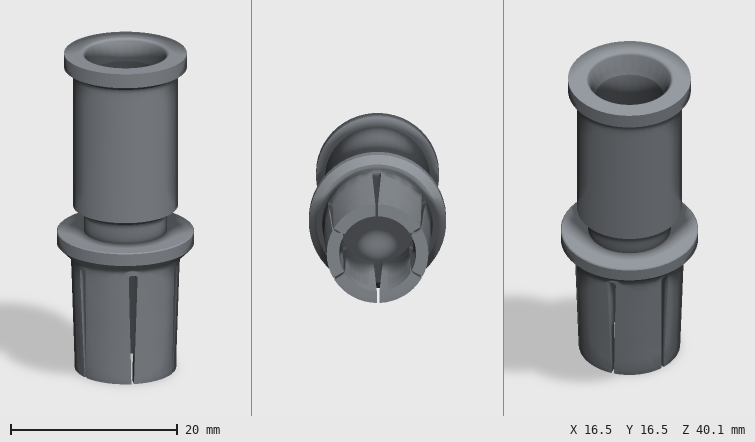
import cadquery as cq
import math

total_height = 40.1

sleeve_tip_radius = 6.1
sleeve_root_radius = 6.58
sleeve_collar_radius = 6.65
sleeve_collar_bottom = 14.7
sleeve_bore_radius = 4.6
sleeve_bore_depth = 14.45

slot_count = 6
slot_top = 14.0
slot_top_width = 1.1
slot_bottom_width = 0.32
slot_corner_radius = 0.32

flange_diameter = 16.5
flange_radius = flange_diameter / 2
flange_bottom = 14.95
flange_top = 17.52
flange_chamfer = 0.95
flange_edge_chamfer = 0.12

neck_radius = 4.97
body_radius = 6.3
body_bottom = 20.05
head_radius = 7.38
head_rim_height = 1.75
slope_run = 1.1
slope_angle = math.radians(30)
slope_rise = slope_run * math.tan(slope_angle)

mouth_radius = 5.05
mouth_fillet = 0.45
lead_in_depth = 2.55
bore_top_radius = 4.1
bore_bottom_radius = 3.6
bore_depth = 18.05
bore_tip_angle = math.radians(59)
bore_tip_depth = bore_depth + bore_bottom_radius / math.tan(bore_tip_angle)


def revolve_profile(points):
    """Revolve a closed (radius, height) outline about the Z axis."""
    return cq.Workplane("XZ").polyline(points).close().revolve(360, (0, 0, 0), (0, 1, 0))


def make_outer_body():
    head_rim_bottom = total_height - head_rim_height
    return revolve_profile([
        (0, 0),
        (sleeve_tip_radius, 0),
        (sleeve_root_radius, sleeve_collar_bottom),
        (sleeve_collar_radius, flange_bottom),
        (flange_radius - flange_chamfer, flange_bottom),
        (flange_radius, flange_bottom + flange_chamfer),
        (flange_radius, flange_top - flange_edge_chamfer),
        (flange_radius - flange_edge_chamfer, flange_top),
        (neck_radius, flange_top),
        (neck_radius, body_bottom),
        (body_radius - slope_run, body_bottom),
        (body_radius, body_bottom + slope_rise),
        (body_radius, head_rim_bottom - slope_rise),
        (head_radius, head_rim_bottom),
        (head_radius, total_height),
        (0, total_height),
    ])


def make_top_bore():
    return revolve_profile([
        (0, total_height),
        (mouth_radius, total_height),
        (bore_top_radius, total_height - lead_in_depth),
        (bore_bottom_radius, total_height - bore_depth),
        (0, total_height - bore_tip_depth),
    ])


def make_slot(angle):
    """Radial slot, wider at its rounded top, narrowing toward the sleeve tip."""
    slot = (
        cq.Workplane("YZ")
        .polyline([
            (-slot_bottom_width / 2, 0),
            (slot_bottom_width / 2, 0),
            (slot_top_width / 2, slot_top),
            (-slot_top_width / 2, slot_top),
        ])
        .close()
        .extrude(flange_radius)
        .edges("|X and >Z")
        .fillet(slot_corner_radius)
    )
    return slot.rotate((0, 0, 0), (0, 0, 1), angle)


result = make_outer_body().cut(make_top_bore())
result = result.faces(">Z").edges(cq.selectors.RadiusNthSelector(0)).fillet(mouth_fillet)
result = result.cut(cq.Workplane("XY").circle(sleeve_bore_radius).extrude(sleeve_bore_depth))
for index in range(slot_count):
    result = result.cut(make_slot(index * 360 / slot_count))